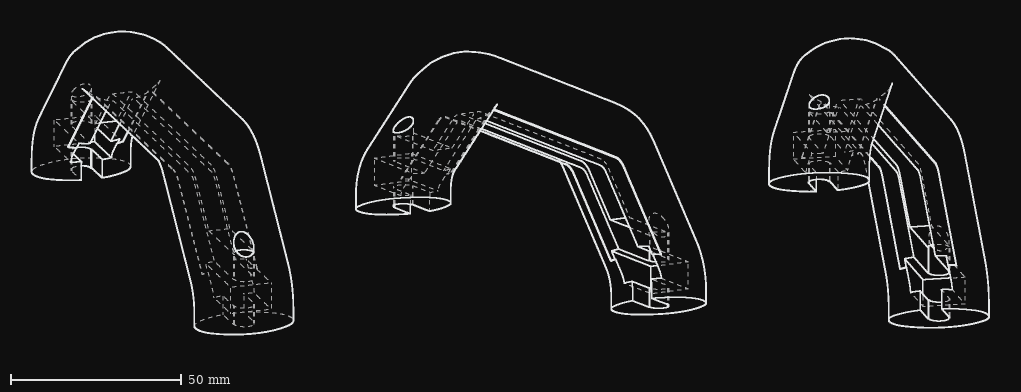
import cadquery as cq
import math

length = 170.0
height = 54.0

width = 30.0
depth = 20.0
broad_face_radius = depth
round_radius = 7.5

band_width = 17.0
band_rise = 0.25
band_start_height = 11.9
groove_depth = 2.0

foot_height = 4.0
bend_radius = 15.0
bend_angle = math.radians(45)
foot_x = (length - depth) / 2
grip_z = height - depth / 2

hole_diameter = 6.0
slot_width = 6.5
slot_height = 21.8
slot_reach = 27.2
pocket_width = 12.5
pocket_floor = 5.8
pocket_height = 8.2


def tube_section():
    """Oval section lying on the bottom plane, around the left foot."""
    round_y = width / 2 - round_radius
    broad_centre_x = broad_face_radius - depth / 2
    centre_distance = math.hypot(broad_centre_x, round_y)
    edge_x = round_radius * broad_centre_x / centre_distance
    edge_y = round_y + round_radius * round_y / centre_distance
    return (
        cq.Workplane("XY")
        .center(-foot_x, 0)
        .moveTo(-edge_x, -edge_y)
        .threePointArc((-depth / 2, 0), (-edge_x, edge_y))
        .threePointArc((0, width / 2), (edge_x, edge_y))
        .threePointArc((depth / 2, 0), (edge_x, -edge_y))
        .threePointArc((0, -width / 2), (-edge_x, -edge_y))
        .close()
    )


def band_section():
    """Section of the raised band, parallel to the inner broad face."""
    edge_y = band_width / 2
    edge_drop = broad_face_radius - math.sqrt(broad_face_radius**2 - edge_y**2)
    crown_x = depth / 2 + band_rise
    return (
        cq.Workplane("XY")
        .center(-foot_x, 0)
        .moveTo(0, -edge_y)
        .lineTo(crown_x - edge_drop, -edge_y)
        .threePointArc((crown_x, 0), (crown_x - edge_drop, edge_y))
        .lineTo(0, edge_y)
        .close()
    )


def groove_section():
    """Section of the groove that splits the band, cut into the tube behind it."""
    return (
        cq.Workplane("XY")
        .center(-foot_x + depth / 2, 0)
        .rect(2 * groove_depth, slot_width)
    )


def centre_line():
    """Path from the left foot, up the leg, along the grip and down to the right foot."""

    def lower_bend(angle):
        x = -foot_x + bend_radius * (1 - math.cos(angle))
        return x, foot_height + bend_radius * math.sin(angle)

    bend_rise = bend_radius * math.sin(bend_angle)
    bend_run = bend_radius * (1 - math.cos(bend_angle))
    leg_rise = grip_z - foot_height - bend_rise - bend_run
    leg_start_x, leg_start_z = lower_bend(bend_angle)
    grip_start_x = leg_start_x + leg_rise / math.tan(bend_angle) + bend_rise

    def upper_bend(angle):
        x = grip_start_x - bend_radius * math.sin(angle)
        return x, grip_z - bend_radius * (1 - math.cos(angle))

    def mirrored(point):
        return -point[0], point[1]

    half_angle = bend_angle / 2
    return (
        cq.Workplane("XZ")
        .moveTo(-foot_x, 0)
        .lineTo(-foot_x, foot_height)
        .threePointArc(lower_bend(half_angle), (leg_start_x, leg_start_z))
        .lineTo(*upper_bend(bend_angle))
        .threePointArc(upper_bend(half_angle), (grip_start_x, grip_z))
        .lineTo(-grip_start_x, grip_z)
        .threePointArc(mirrored(upper_bend(half_angle)), mirrored(upper_bend(bend_angle)))
        .lineTo(-leg_start_x, leg_start_z)
        .threePointArc(mirrored(lower_bend(half_angle)), (foot_x, foot_height))
        .lineTo(foot_x, 0)
    )


def screw_passage():
    """Cutter for the right foot: through hole, side slot and wider pocket for the screw head."""
    inner_x = foot_x - slot_reach
    hole = cq.Workplane("XY").center(foot_x, 0).circle(hole_diameter / 2).extrude(height)
    slot = (
        cq.Workplane("XY")
        .center((inner_x + foot_x) / 2, 0)
        .rect(slot_reach, slot_width)
        .extrude(slot_height)
    )
    pocket_length = slot_reach + pocket_width / 2
    pocket = (
        cq.Workplane("XY", origin=(inner_x + pocket_length / 2, 0, pocket_floor))
        .rect(pocket_length, pocket_width)
        .extrude(pocket_height)
    )
    return hole.union(slot).union(pocket)


tube = tube_section().sweep(centre_line())
groove = groove_section().sweep(centre_line())

foot_zone = cq.Workplane("XY").rect(2 * length, 2 * width).extrude(band_start_height)
band = band_section().sweep(centre_line()).cut(foot_zone)

right_passage = screw_passage()
left_passage = right_passage.mirror("YZ")
result = tube.union(band).cut(groove).cut(right_passage).cut(left_passage)